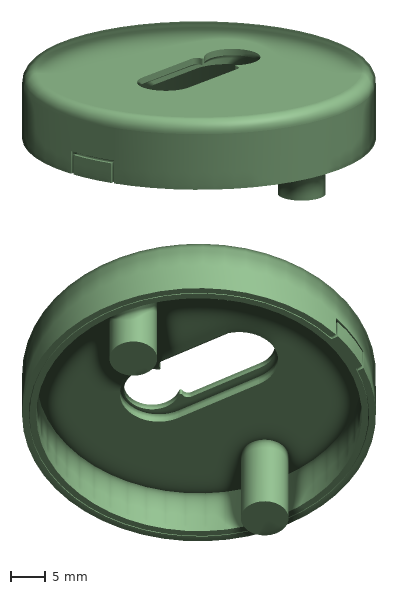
import cadquery as cq


cover_diameter = 51.95
cover_height = 10.5
cover_inner_diameter = 50.0
cover_top_thickness = 1.0
cover_edge_radius = 2.0
ceiling_z = cover_height - cover_top_thickness

keyhole_offset = 8.0
head_diameter = 8.25
slot_width = 8.45
slot_top_y = 4.75
slot_corner_radius = 0.95
neck_radius = 0.25

base_diameter = 49.8
base_plate_thickness = 1.55
base_rim_thickness = 1.0
base_slot_width = 11.45
base_slot_length = 25.15
plate_bottom_z = ceiling_z - base_plate_thickness

post_diameter = 7.0
post_drop = 5.0
post_offset = 19.0

tab_width = 7.0
tab_height = 3.0
notch_width = 8.0
notch_height = 3.5


def disc(diameter, bottom_z, top_z):
    """Vertical cylinder about the Z axis."""
    return cq.Workplane("XY").workplane(offset=bottom_z).circle(diameter / 2).extrude(top_z - bottom_z)


def front_block(width, height):
    """Block standing on Z = 0, from the Z axis out to the cover's outer radius at -Y."""
    depth = cover_diameter / 2
    return cq.Workplane("XY").box(width, depth, height, centered=(True, False, False)).translate((0, -depth, 0))


def rim_segment(width, height, inner_diameter):
    """Part of the round wall at -Y, between the given inner diameter and the cover's outside."""
    ring = disc(cover_diameter, 0, height).cut(disc(inner_diameter, 0, height))
    return ring.intersect(front_block(width, height))


def keyhole_cutter():
    """Keyhole prism through the top of the cover, with rounded neck and shoulders."""
    half_width = slot_width / 2
    slot = (
        cq.Workplane("XY")
        .workplane(offset=ceiling_z)
        .moveTo(-half_width, slot_top_y)
        .lineTo(-half_width, -keyhole_offset)
        .threePointArc((0, -keyhole_offset - half_width), (half_width, -keyhole_offset))
        .lineTo(half_width, slot_top_y)
        .close()
        .extrude(cover_top_thickness)
        .edges("|Z and >Y")
        .fillet(slot_corner_radius)
    )
    head = disc(head_diameter, ceiling_z, cover_height).translate((0, keyhole_offset, 0))

    neck_x = ((head_diameter / 2) ** 2 - (keyhole_offset - slot_top_y) ** 2) ** 0.5
    neck_reach = 0.05
    neck_edges = cq.selectors.BoxSelector(
        (-neck_x - neck_reach, slot_top_y - neck_reach, ceiling_z),
        (neck_x + neck_reach, slot_top_y + neck_reach, cover_height),
    )
    return slot.union(head).edges("|Z").edges(neck_edges).fillet(neck_radius)


def make_cover():
    """Cup open at the bottom, with a rounded top edge, a keyhole and a rim notch."""
    cover = disc(cover_diameter, 0, cover_height).faces(">Z").edges().fillet(cover_edge_radius)
    cover = cover.cut(disc(cover_inner_diameter, 0, ceiling_z))
    cover = cover.cut(keyhole_cutter())
    return cover.cut(front_block(notch_width, notch_height))


def make_base():
    """Plate with a rim, a wide slot, two posts and a tab that sits in the cover's notch."""
    base = disc(base_diameter, 0, ceiling_z)
    base = base.cut(disc(base_diameter - 2 * base_rim_thickness, 0, plate_bottom_z))

    slot = (
        cq.Workplane("XY")
        .workplane(offset=plate_bottom_z)
        .slot2D(base_slot_length, base_slot_width, 90)
        .extrude(base_plate_thickness)
    )
    base = base.cut(slot)

    for side in (-1, 1):
        post = disc(post_diameter, -post_drop, plate_bottom_z)
        base = base.union(post.translate((side * post_offset, 0, 0)))

    return base.union(rim_segment(tab_width, tab_height, base_diameter))


cover = make_cover()
base = make_base()

result = cq.Compound.makeCompound([cover.solids().val(), base.solids().val()])